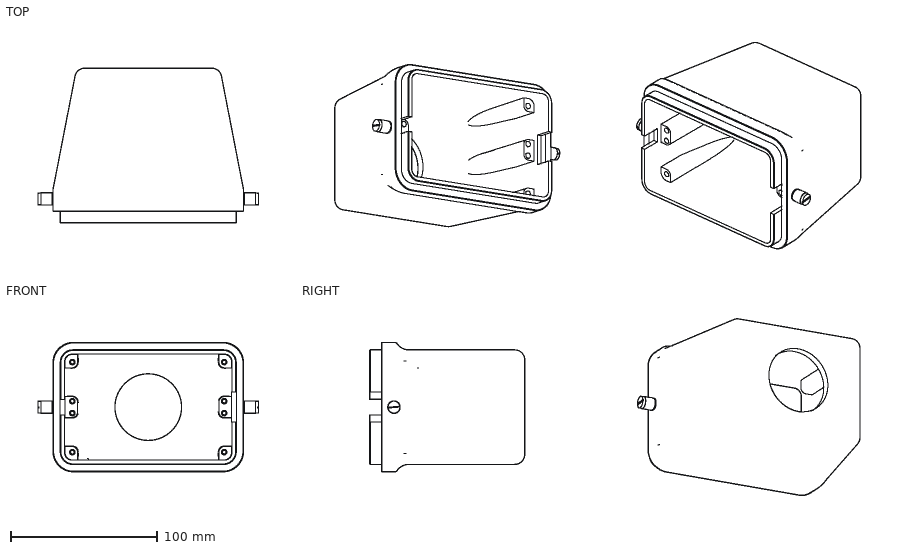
import cadquery as cq
import math

depth = 106.0
span = 150.8
flange_width, flange_height, flange_radius = 130.3, 88.5, 14.0
flange_front = 8.0

lip_width, lip_height, lip_radius = 120.3, 78.4, 8.7
lip_wall = 3.0
rim_chamfer = 0.5

body_height = lip_height
body_radius = 7.0
taper_angle = 11
taper = math.tan(math.radians(taper_angle))
taper_start = 23.0
shoulder_radius = 9.7
shoulder_end = 26.7
flange_edge_radius = 1.7
flat_side_height = 63.3

rear_wall = 6.0
mouth_width = lip_width - 2 * lip_wall
mouth_height = lip_height - 2 * lip_wall
knee_width = 113.1
knee_radius = 7.5
floor_width, floor_height = 89.0, 70.5
cavity_radius = 5.0
cable_hole_diameter = 45.4

boss_front = 16.7
boss_inner_x = 48.3
boss_radius = 3.9
corner_boss_z = 26.8
middle_boss_height = 14.5
screw_x = 51.9
corner_screw_z, middle_screw_z = 30.8, 4.0
boss_draft = 0.4
screw_diameter, screw_depth = 3.8, 12.0
screw_draft = 3.0

notch_depth = 13.0
left_notch_height, right_notch_height = 10.5, 20.7

pin_y = 16.6
pin_diameter, relief_diameter = 8.6, 8.1
neck_length, tip_length = 0.8, 2.1
slot_width, slot_depth = 0.6, 0.6
slot_tilt = 5.0

margin = 3.0


def block(x_limits, y_limits, z_limits):
    """Axis-aligned box given by its (low, high) limits."""
    lows, highs = zip(x_limits, y_limits, z_limits)
    size = [high - low for low, high in zip(lows, highs)]
    return cq.Workplane("XY").box(*size, centered=False).translate(lows)


def centred(size):
    """Limits of a length centred on zero."""
    return (-size / 2, size / 2)


def rounded_bar(width, height, radius, y_limits):
    """Bar along Y with a centred, rounded rectangular section."""
    return block(centred(width), y_limits, centred(height)).edges("|Y").fillet(radius)


def mirrored_outline(half_outline):
    """Closed outline made of a right-hand half profile and its mirror image."""
    return half_outline + [(-x, y) for x, y in reversed(half_outline)]


def make_body():
    """Solid tapered hood with rounded sides and rear."""
    front_x = flange_width / 2 + (taper_start - flange_front) * taper
    back_x = flange_width / 2 - (depth - taper_start) * taper
    outline = mirrored_outline([(front_x, flange_front), (back_x, depth)])
    body = cq.Workplane("XY").polyline(outline).close().extrude(body_height / 2, both=True)
    return body.edges("not <Y").fillet(body_radius)


def make_flange(body):
    """Body with its flange; the shoulder fades out along the flat left and right sides."""
    plate_back = shoulder_end - shoulder_radius
    plate_size = flange_width + flange_height
    plate = block(centred(plate_size), (flange_front, plate_back), centred(plate_size))
    inner = plate_size / 2 - margin
    junction = cq.selectors.BoxSelector(
        (-inner, plate_back - margin, -inner), (inner, plate_back + margin, inner)
    )
    swept = body.union(plate).edges(junction).fillet(shoulder_radius)

    flats = block(centred(plate_size), (plate_back, depth), centred(flat_side_height))
    swept = swept.cut(flats).union(body)

    bound = rounded_bar(flange_width, flange_height, flange_radius, (flange_front, depth))
    flange = swept.intersect(bound.faces("<Y").chamfer(rim_chamfer))
    return flange.faces(">Z or <Z").edges(">Y").fillet(flange_edge_radius)


def make_shell():
    """Body, flange and lip as one solid."""
    lip = rounded_bar(lip_width, lip_height, lip_radius, (0, taper_start))
    lip = lip.faces("<Y").chamfer(rim_chamfer)
    return make_flange(make_body()).union(lip)


def make_boss(z_limits):
    """Right-hand drafted boss with rounded corners; its outer part is buried in the wall."""
    low_z, high_z = z_limits
    outer_x = flange_width / 2
    centre = ((boss_inner_x + outer_x) / 2, boss_front, (low_z + high_z) / 2)
    section = cq.Sketch().rect(outer_x - boss_inner_x, high_z - low_z).vertices().fillet(boss_radius)
    boss = cq.Workplane("XZ", origin=centre).placeSketch(section)
    return boss.extrude(boss_front - depth, taper=-boss_draft)


def make_bosses():
    """Four corner bosses and two middle bosses, running the full cavity depth."""
    outer_z = flange_height / 2
    rows = [
        (-outer_z, -corner_boss_z),
        centred(middle_boss_height),
        (corner_boss_z, outer_z),
    ]
    bosses = cq.Workplane("XY")
    for z_limits in rows:
        boss = make_boss(z_limits)
        bosses = bosses.union(boss).union(boss.mirror("YZ"))
    return bosses


def make_cavity():
    """Inside space: slanted sides, slightly drafted top and bottom, rounded floor."""
    floor_y = depth - rear_wall
    knee_y = floor_y - (knee_width - floor_width) / 2 / taper
    plan = mirrored_outline([(mouth_width / 2, 0), (knee_width / 2, knee_y), (floor_width / 2, floor_y)])
    cavity = cq.Workplane("XY").polyline(plan).close().extrude(lip_height, both=True)
    knees = cq.selectors.BoxSelector(
        (-span, knee_y - margin, -span), (span, knee_y + margin, span)
    )
    cavity = cavity.edges("|Z").edges(knees).fillet(knee_radius)

    draft = mirrored_outline([(mouth_height / 2, 0), (floor_height / 2, floor_y)])
    draft = [(y, z) for z, y in draft]
    wedge = cq.Workplane("YZ").polyline(draft).close().extrude(mouth_width, both=True)
    cavity = cavity.intersect(wedge)
    return cavity.edges(">Y or ((not <Y) and (not |Z))").fillet(cavity_radius)


def make_screw_hole(x, z):
    """Slightly tapered blind hole in a boss face."""
    hole = cq.Workplane("XZ", origin=(x, boss_front, z))
    return hole.circle(screw_diameter / 2).extrude(-screw_depth, taper=screw_draft)


def make_notches():
    """Cuts through the left and right walls of the lip."""
    outer_x = lip_width / 2
    inner_x = boss_inner_x
    left = block((-outer_x, -inner_x), (0, notch_depth), centred(left_notch_height))
    right = block((inner_x, outer_x), (0, notch_depth), centred(right_notch_height))
    return left.union(right)


def make_pin():
    """Right-hand locking pin: relieved neck, bearing, relieved tip with a slot."""
    end_x = span / 2
    neck_x = flange_width / 2 + neck_length
    tip_x = end_x - tip_length
    root_x = lip_width / 2
    pin_radius = pin_diameter / 2
    relief_radius = relief_diameter / 2
    profile = [
        (root_x, 0),
        (root_x, relief_radius),
        (neck_x, relief_radius),
        (neck_x, pin_radius),
        (tip_x, pin_radius),
        (tip_x, relief_radius),
        (end_x, relief_radius),
        (end_x, 0),
    ]
    pin = cq.Workplane("XY").polyline(profile).close().revolve(360, (0, 0), (1, 0))
    slot = cq.Workplane("XY").box(2 * slot_depth, 2 * pin_diameter, slot_width)
    slot = slot.rotate((0, 0, 0), (1, 0, 0), slot_tilt).translate((end_x, 0, 0))
    return pin.cut(slot).translate((0, pin_y, 0))


hood = make_shell().cut(make_cavity().cut(make_bosses()))

cable_hole = cq.Workplane("XZ").circle(cable_hole_diameter / 2).extrude(-depth)
hood = hood.cut(cable_hole).cut(make_notches())

for x in (-screw_x, screw_x):
    for z in (-corner_screw_z, -middle_screw_z, middle_screw_z, corner_screw_z):
        hood = hood.cut(make_screw_hole(x, z))

pin = make_pin()
result = hood.union(pin).union(pin.mirror("YZ"))